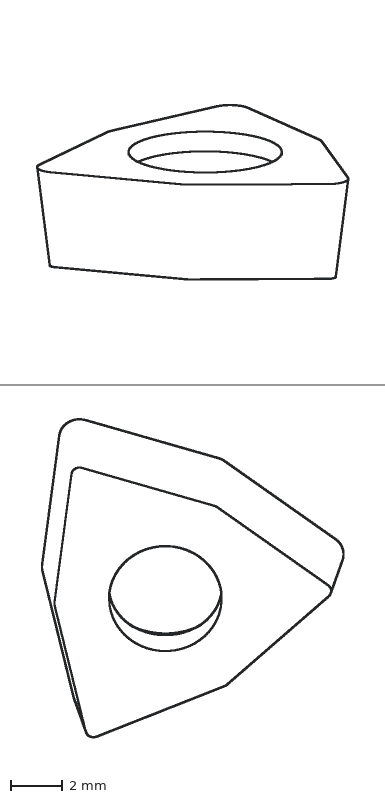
import cadquery as cq
import math

inscribed_radius = 4.76
thickness = 3.98
corner_radius = 0.8
clearance_angle = 7.0
side_count = 3
first_side_normal = -90.0
side_break = 20.0

counterbore_radius = 2.99
counterbore_depth = 0.8
bore_radius = 2.19
seat_depth = 2.0


def trigon_points():
    """Sharp corners of the outline, every edge tangent to the inscribed circle."""
    pitch = 360.0 / side_count
    normals = []
    for side in range(side_count):
        start = first_side_normal + side * pitch
        normals += [start, start + side_break]
    normals.append(first_side_normal + 360.0)

    points = []
    for normal, next_normal in zip(normals, normals[1:]):
        direction = math.radians((normal + next_normal) / 2)
        half_turn = math.radians((next_normal - normal) / 2)
        distance = inscribed_radius / math.cos(half_turn)
        points.append((distance * math.cos(direction), distance * math.sin(direction)))
    return points


def make_body():
    """Rounded outline narrowing from the top face to the bottom face."""
    outline = cq.Sketch().polygon(trigon_points() + trigon_points()[:1])
    outline = outline.vertices().fillet(corner_radius)
    top_face = cq.Workplane("XY").workplane(offset=thickness).placeSketch(outline)
    return top_face.extrude(-thickness, taper=clearance_angle)


def make_screw_hole():
    """Revolved hole whose convex seat runs tangent into the bore."""
    seat_top = thickness - counterbore_depth
    seat_bottom = seat_top - seat_depth
    seat_width = counterbore_radius - bore_radius
    seat_radius = (seat_width**2 + seat_depth**2) / (2 * seat_width)
    half_sweep = math.asin(seat_depth / seat_radius) / 2
    seat_middle = (
        bore_radius + seat_radius * (1 - math.cos(half_sweep)),
        seat_bottom + seat_radius * math.sin(half_sweep),
    )
    return (
        cq.Workplane("XZ")
        .lineTo(bore_radius, 0)
        .lineTo(bore_radius, seat_bottom)
        .threePointArc(seat_middle, (counterbore_radius, seat_top))
        .lineTo(counterbore_radius, thickness)
        .lineTo(0, thickness)
        .close()
        .revolve(360, (0, 0), (0, 1))
    )


result = make_body().cut(make_screw_hole())